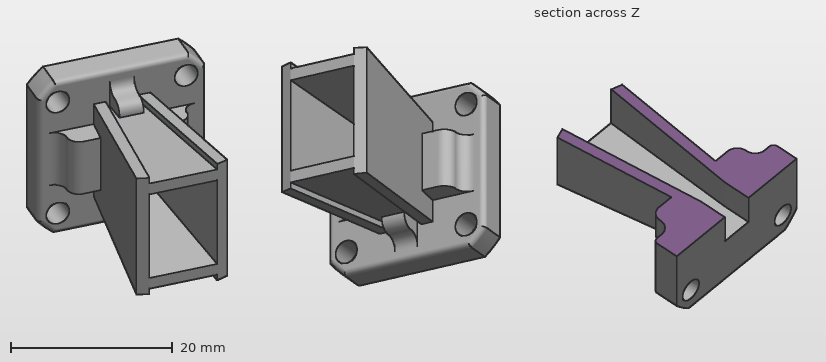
import cadquery as cq
import math

flange_size = 22.23
flange_corner_radius = 14.27
flange_thickness = 3.94
flange_edge_radius = 0.7

hole_diameter = 3.05
hole_spacing_y = 17.02
hole_spacing_z = 16.26

bore_width = 4.318
bore_height = 8.636

part_length = 24.94
wall_thickness = 1.5875
wall_lip = 0.82
side_slope = 0.1108
plate_slope = 0.0855
wall_end_setback = 0.5

rib_reach = 7.96
rib_length = 3.3
rib_radius = 1.5875
side_rib_width = 7.64
plate_rib_width = 3.2

horn_length = part_length - flange_thickness

side_wall_run = wall_thickness * math.hypot(1, side_slope)
plate_run = wall_thickness * math.hypot(1, plate_slope)

side_rib_root = (bore_width + side_wall_run) / 2
plate_rib_root = (bore_height + plate_run) / 2


def tapered_prism(plane, half_start, slope):
    """Trapezoid along the horn axis, symmetric about X and extruded across the whole flange."""
    half_end = half_start + slope * horn_length
    outline = [
        (flange_thickness, -half_start),
        (part_length, -half_end),
        (part_length, half_end),
        (flange_thickness, half_start),
    ]
    return cq.Workplane(plane).polyline(outline).close().extrude(flange_size / 2, both=True)


def flared_block(half_y, half_z):
    """Frustum from the flange front that flares with the horn slopes."""
    plan = tapered_prism("XY", half_y, side_slope)
    elevation = tapered_prism("XZ", half_z, plate_slope)
    return plan.intersect(elevation)


def rounded_slab(plane, edge_direction):
    """Flange-thick slab, longer than the flange, with its two front edges rounded."""
    return (
        cq.Workplane(plane)
        .center(flange_thickness / 2, 0)
        .rect(flange_thickness, flange_size)
        .extrude(flange_size, both=True)
        .faces(">X")
        .edges(edge_direction)
        .fillet(flange_edge_radius)
    )


def make_flange():
    """Crossed slabs form the square and a disc turns its corners, all with one edge radius."""
    disc = cq.Workplane("YZ").circle(flange_corner_radius).extrude(flange_thickness)
    disc = disc.faces(">X").edges().fillet(flange_edge_radius)
    return rounded_slab("XY", "|Z").intersect(rounded_slab("XZ", "|Y")).intersect(disc)


def make_rib(width, root, turn):
    """Rib along +Y from the given root, blended to the flange face, then turned about X."""
    base = flange_thickness
    tip = base + rib_length
    diagonal = rib_radius * (1 - math.sqrt(0.5))
    profile = (
        cq.Workplane("XY", origin=(0, 0, -width / 2))
        .moveTo(base, root)
        .lineTo(base, rib_reach + rib_radius)
        .threePointArc((base + diagonal, rib_reach + diagonal), (base + rib_radius, rib_reach))
        .lineTo(tip - rib_radius, rib_reach)
        .threePointArc((tip - diagonal, rib_reach - diagonal), (tip, rib_reach - rib_radius))
        .lineTo(tip, root)
        .close()
    )
    return profile.extrude(width).rotate((0, 0, 0), (1, 0, 0), turn)


def make_plates():
    """Solid core whose top and bottom become the horn plates once the cavity is cut."""
    return flared_block(bore_width / 2, bore_height / 2 + plate_run)


def make_side_walls():
    """Tapered walls on both Y sides, each with a slanted free end."""
    inner = bore_width / 2
    outer = inner + side_wall_run
    outer_length = horn_length - wall_end_setback
    half_z = bore_height / 2 + plate_run + wall_lip
    plan = (
        cq.Workplane("XY", origin=(0, 0, -flange_size / 2))
        .moveTo(flange_thickness, inner)
        .lineTo(part_length, inner + side_slope * horn_length)
        .lineTo(flange_thickness + outer_length, outer + side_slope * outer_length)
        .lineTo(flange_thickness, outer)
        .close()
        .extrude(flange_size)
    )
    wall = plan.intersect(tapered_prism("XZ", half_z, plate_slope))
    return wall.union(wall.mirror("XZ"))


def make_cavity():
    """Straight bore through the flange that opens into the flared horn."""
    bore = cq.Workplane("YZ").rect(bore_width, bore_height).extrude(flange_thickness)
    return bore.union(flared_block(bore_width / 2, bore_height / 2))


def make_holes():
    """Four mounting holes through the flange."""
    return (
        cq.Workplane("YZ")
        .rect(hole_spacing_y, hole_spacing_z, forConstruction=True)
        .vertices()
        .circle(hole_diameter / 2)
        .extrude(flange_thickness)
    )


result = make_flange().union(make_plates()).union(make_side_walls())
for turn in (0, 180):
    result = result.union(make_rib(side_rib_width, side_rib_root, turn))
    result = result.union(make_rib(plate_rib_width, plate_rib_root, turn + 90))
result = result.cut(make_cavity()).cut(make_holes())